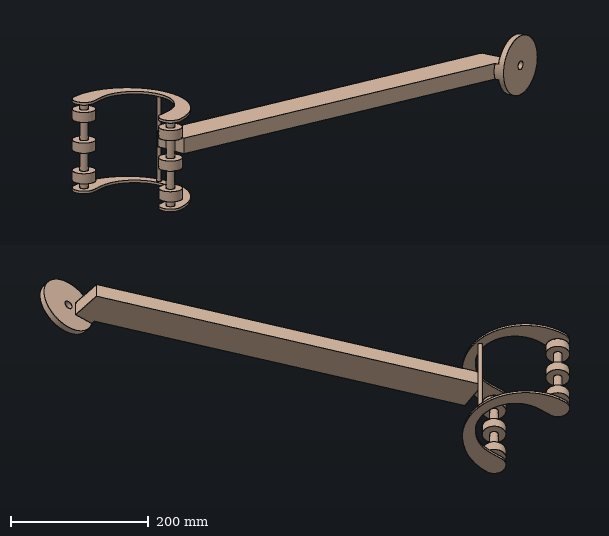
import cadquery as cq

arch_radius = 92.0
lobe_diameter = 35.0
crown_width = 15.0
cradle_height = 140.0
plate_thickness = 4.0
lobe_radius = lobe_diameter / 2
opening_radius = arch_radius - lobe_diameter
pin_x = arch_radius - lobe_radius
pin_y = lobe_radius
crown_y = pin_y + arch_radius
opening_crown_y = crown_y - crown_width
opening_center_y = opening_crown_y - opening_radius

pin_diameter = 13.0
roller_diameter = lobe_diameter
roller_height = 15.5
roller_pitch = 47.0
tie_rod_diameter = 7.0
tie_rod_y = 101.5

arm_height = 24.0
arm_foot_left = (0.0, 97.0)
arm_foot_right = (50.5, 90.0)
arm_top_left_x = 199.5
arm_top_y = 651.5
arm_heel_x = 242.0

flange_diameter = 90.0
flange_thickness = 10.0
flange_hole_diameter = 13.0
flange_top_y = 710.0
flange_outer_x = 258.5
flange_inner_x = flange_outer_x - flange_thickness
flange_y = flange_top_y - flange_diameter / 2
arm_heel_y = flange_top_y - flange_diameter


def upright_cylinder(x, y, diameter, height, z_center=0.0):
    """Vertical cylinder centred at the given point."""
    return cq.Workplane("XY").cylinder(height, diameter / 2).translate((x, y, z_center))


def make_plate(z_bottom):
    """Arched plate that widens from its crown to two rounded lobes."""
    return (
        cq.Workplane("XY", origin=(0, 0, z_bottom))
        .moveTo(-arch_radius, pin_y)
        .threePointArc((0, crown_y), (arch_radius, pin_y))
        .threePointArc((pin_x, pin_y - lobe_radius), (opening_radius, pin_y))
        .lineTo(opening_radius, opening_center_y)
        .threePointArc((0, opening_crown_y), (-opening_radius, opening_center_y))
        .lineTo(-opening_radius, pin_y)
        .threePointArc((-pin_x, pin_y - lobe_radius), (-arch_radius, pin_y))
        .close()
        .extrude(plate_thickness)
    )


def make_roller_pin(x):
    """Pin between the plates with three evenly spaced rollers."""
    roller_pin = upright_cylinder(x, pin_y, pin_diameter, cradle_height)
    for step in (-1, 0, 1):
        roller = upright_cylinder(x, pin_y, roller_diameter, roller_height, step * roller_pitch)
        roller_pin = roller_pin.union(roller)
    return roller_pin


def make_tie_rod():
    """Thin rod that joins the plate crowns and passes through the arm."""
    return upright_cylinder(0, tie_rod_y, tie_rod_diameter, cradle_height)


def make_cradle():
    """Plates, roller pins and tie rod as one solid."""
    cradle = make_plate(-cradle_height / 2)
    cradle = cradle.union(make_tie_rod())
    for x in (-pin_x, pin_x):
        cradle = cradle.union(make_roller_pin(x))
    return cradle.union(make_plate(cradle_height / 2 - plate_thickness))


def make_flange():
    """Round mounting flange facing +X, with a central through hole."""
    return (
        cq.Workplane("YZ", origin=(flange_inner_x, flange_y, 0))
        .circle(flange_diameter / 2)
        .circle(flange_hole_diameter / 2)
        .extrude(flange_thickness)
    )


def make_heel():
    """Part of the bar below the slanted edge, rounded to follow the flange rim."""
    heel_length = flange_inner_x - arm_heel_x
    heel_disc = (
        cq.Workplane("YZ", origin=(arm_heel_x, flange_y, 0))
        .circle(flange_diameter / 2)
        .extrude(heel_length)
    )
    heel_block = cq.Workplane("XY").box(heel_length, arm_top_y - arm_heel_y, arm_height).translate(
        (arm_heel_x + heel_length / 2, (arm_top_y + arm_heel_y) / 2, 0)
    )
    return heel_disc.intersect(heel_block)


def make_arm():
    """Slanted bar, heel and flange, with a groove where the tie rod sits."""
    slant = (arm_heel_y - arm_foot_right[1]) / (arm_heel_x - arm_foot_right[0])
    slant_end_y = arm_heel_y + slant * (flange_inner_x - arm_heel_x)
    bar_outline = [
        arm_foot_left,
        arm_foot_right,
        (flange_inner_x, slant_end_y),
        (flange_inner_x, arm_top_y),
        (arm_top_left_x, arm_top_y),
    ]
    bar = cq.Workplane("XY").polyline(bar_outline).close().extrude(arm_height / 2, both=True)
    return bar.union(make_heel()).union(make_flange()).cut(make_tie_rod())


cradle = make_cradle()
arm = make_arm()
result = cq.Compound.makeCompound([cradle.val(), arm.val()])